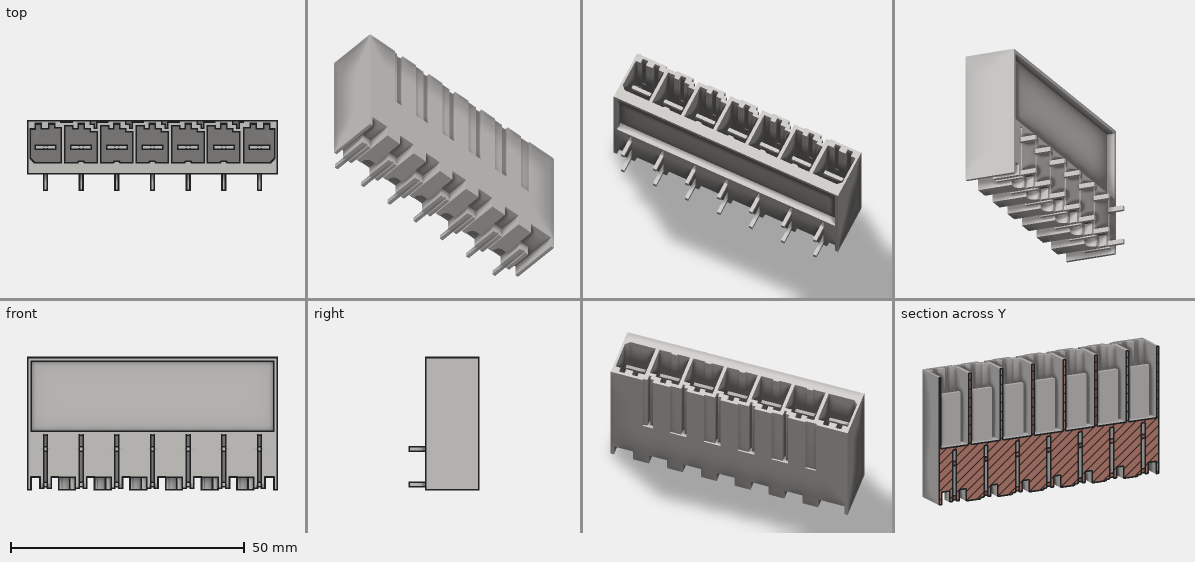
import cadquery as cq
import math


length = 53.35
height = 28.3
total_depth = 14.9
pin_reach = 3.5
depth = total_depth - pin_reach
pole_count = 7
pitch = length / pole_count

side_wall = 0.75
panel_top = height - 0.8
panel_bottom = 12.5
panel_depth = 1.7

stock = 0.8
pin_height = 1.0
lower_pin_z = 1.1
upper_pin_z = lower_pin_z + pitch
blade_width = 4.4
blade_top = 24.0
spine_back = depth / 2 + stock / 2
spine_front = spine_back - stock
spine_bottom = lower_pin_z - pin_height / 2

slot_top = 11.7
foot_height = 2.7
prong_clearance = 0.3
prong_width = 2.45
prong_depth = spine_back

key_left = 6.6
key_front = panel_depth
socket_left = 7.25
socket_radius = 1.45
socket_center_x = pitch
socket_center_y = 2.2
key_right = pitch + pitch / 2 - prong_width / 2

chamber_floor = panel_bottom
chamber_front = 2.4
chamber_right = 7.2
relief_bottom = 16.0
relief = 0.15
slot_back = 10.6
rib_slot_width = 1.3
rib_back = 9.65

inner_left = 0.3
inner_left_back = 10.25
inner_left_shoulder = 2.05
inner_slot_left = 3.15
inner_right_shoulder = 5.7
inner_right_back = 9.0
bump_height = 0.3
bump_base_width = 1.5
bump_top_width = 1.05

end_wall = 0.55
end_chamfer = 0.9
end_slot_lefts = (1.65, 4.55)
end_corner_back = 9.5
end_right_back = 9.8

groove_left = 7.1
groove_depth = 0.3
groove_width = 2.4
last_groove_width = 0.9
hook_left = 5.75
hook_step = 6.55
hook_step_depth = 0.8
hook_depth = 1.6


def block(x0, x1, y0, y1, z0, z1):
    """Box between two opposite corners."""
    return cq.Workplane("XY").box(x1 - x0, y1 - y0, z1 - z0, centered=False).translate((x0, y0, z0))


def column(points, z0, z1):
    """Upright prism over a polygon in plan."""
    return cq.Workplane("XY").workplane(offset=z0).polyline(points).close().extrude(z1 - z0)


def pole_left(pole):
    return pole * pitch


def pole_center(pole):
    return (pole + 0.5) * pitch


def inner_chamber():
    """Plug space of a middle pole: one rib slot, stepped rear wall and a bump in front."""
    slot_right = inner_slot_left + rib_slot_width
    bump_center = inner_slot_left + rib_slot_width / 2
    bump_back = chamber_front + bump_height
    chamber = column(
        [
            (inner_left, chamber_front),
            (bump_center - bump_base_width / 2, chamber_front),
            (bump_center - bump_top_width / 2, bump_back),
            (bump_center + bump_top_width / 2, bump_back),
            (bump_center + bump_base_width / 2, chamber_front),
            (chamber_right, chamber_front),
            (chamber_right, inner_right_back),
            (inner_right_shoulder, inner_right_back),
            (inner_right_shoulder, rib_back),
            (slot_right, rib_back),
            (slot_right, slot_back),
            (inner_slot_left, slot_back),
            (inner_slot_left, rib_back),
            (inner_left_shoulder, rib_back),
            (inner_left_shoulder, inner_left_back),
            (inner_left, inner_left_back),
        ],
        chamber_floor,
        height,
    )
    return chamber.union(
        block(inner_slot_left, slot_right, rib_back, slot_back + relief, relief_bottom, height)
    )


def end_chamber():
    """Plug space of the first pole: two rib slots and a chamfered outer corner."""
    first_slot, second_slot = end_slot_lefts
    first_slot_right = first_slot + rib_slot_width
    second_slot_right = second_slot + rib_slot_width
    chamber = column(
        [
            (end_wall + end_chamfer, chamber_front),
            (chamber_right, chamber_front),
            (chamber_right, end_right_back),
            (second_slot_right, end_right_back),
            (second_slot_right, slot_back),
            (second_slot, slot_back),
            (second_slot, rib_back),
            (first_slot_right, rib_back),
            (first_slot_right, slot_back),
            (first_slot, slot_back),
            (first_slot, end_corner_back),
            (end_wall, end_corner_back),
            (end_wall, chamber_front + end_chamfer),
        ],
        chamber_floor,
        height,
    )
    for left in end_slot_lefts:
        right = left + rib_slot_width
        chamber = chamber.union(block(left, right, rib_back, slot_back + relief, relief_bottom, height))
    corner_relief = block(
        end_wall, first_slot, chamber_front + end_chamfer, end_corner_back + relief, relief_bottom, height
    )
    return chamber.union(corner_relief)


def label_groove(pole):
    """Shallow groove in the rear face across the wall to the next pole."""
    width = last_groove_width if pole == pole_count - 2 else groove_width
    left = pole_left(pole) + groove_left
    return block(left, left + width, depth - groove_depth, depth, chamber_floor, height)


def label_hook(pole):
    """Stepped deep end of a label groove."""
    left = pole_left(pole)
    step = block(left + hook_left, left + groove_left, depth - hook_step_depth, depth, chamber_floor, height)
    toe = block(left + hook_step, left + groove_left, depth - hook_depth, depth, chamber_floor, height)
    return step.union(toe)


def prong_block(pole):
    """Foot around a contact slot; the slot splits it into two prongs."""
    center = pole_center(pole)
    half_width = prong_width / 2
    return block(center - half_width, center + half_width, 0, prong_depth, prong_clearance, foot_height)


def socket_key(pole):
    """Foot with an undercut round socket, running from this pole to the prongs of the next."""
    socket_back = socket_center_y + math.sqrt(socket_radius**2 - (socket_center_x - socket_left) ** 2)
    lip_x = socket_center_x + math.sqrt(socket_radius**2 - (socket_center_y - key_front) ** 2)
    diagonal = socket_radius * math.sqrt(0.5)
    key = (
        cq.Workplane("XY")
        .moveTo(key_left, socket_back)
        .lineTo(socket_left, socket_back)
        .threePointArc((socket_center_x + diagonal, socket_center_y + diagonal), (lip_x, key_front))
        .lineTo(key_right, key_front)
        .lineTo(key_right, depth)
        .lineTo(key_left, depth)
        .close()
        .extrude(foot_height)
    )
    return key.translate((pole_left(pole), 0, 0))


def contact_slot(pole):
    """Slot for the pins and spine, with the passage that lets the spine into the chamber."""
    left = pole_center(pole) - stock / 2
    right = left + stock
    slot = block(left, right, 0, spine_back, 0, slot_top)
    passage = block(left, right, spine_front, spine_back, slot_top, chamber_floor)
    return slot.union(passage)


def make_housing():
    body = block(0, length, 0, depth, foot_height, height)
    body = body.union(block(0, side_wall, 0, depth, 0, foot_height))
    body = body.union(block(length - side_wall, length, 0, depth, 0, foot_height))
    for pole in range(pole_count):
        body = body.union(prong_block(pole))
    for pole in range(pole_count - 1):
        body = body.union(socket_key(pole))

    body = body.cut(block(side_wall, length - side_wall, 0, panel_depth, panel_bottom, panel_top))

    body = body.cut(end_chamber())
    body = body.cut(end_chamber().mirror("YZ").translate((length, 0, 0)))
    for pole in range(1, pole_count - 1):
        body = body.cut(inner_chamber().translate((pole_left(pole), 0, 0)))
        body = body.cut(label_hook(pole))
    for pole in range(pole_count - 1):
        body = body.cut(label_groove(pole))
    for pole in range(pole_count):
        body = body.cut(contact_slot(pole))
    return body


def make_contact(pole):
    """Spine with a plug blade on top and two solder pins out of the front."""
    center = pole_center(pole)
    left = center - stock / 2
    right = center + stock / 2
    contact = block(left, right, spine_front, spine_back, spine_bottom, chamber_floor)
    half_blade = blade_width / 2
    contact = contact.union(
        block(center - half_blade, center + half_blade, spine_front, spine_back, chamber_floor, blade_top)
    )
    for pin_z in (lower_pin_z, upper_pin_z):
        half_pin = pin_height / 2
        contact = contact.union(
            block(left, right, -pin_reach, spine_back, pin_z - half_pin, pin_z + half_pin)
        )
    return contact


housing = make_housing()
contacts = [make_contact(pole) for pole in range(pole_count)]

result = cq.Compound.makeCompound(
    [housing.solids().val(), *[contact.solids().val() for contact in contacts]]
)